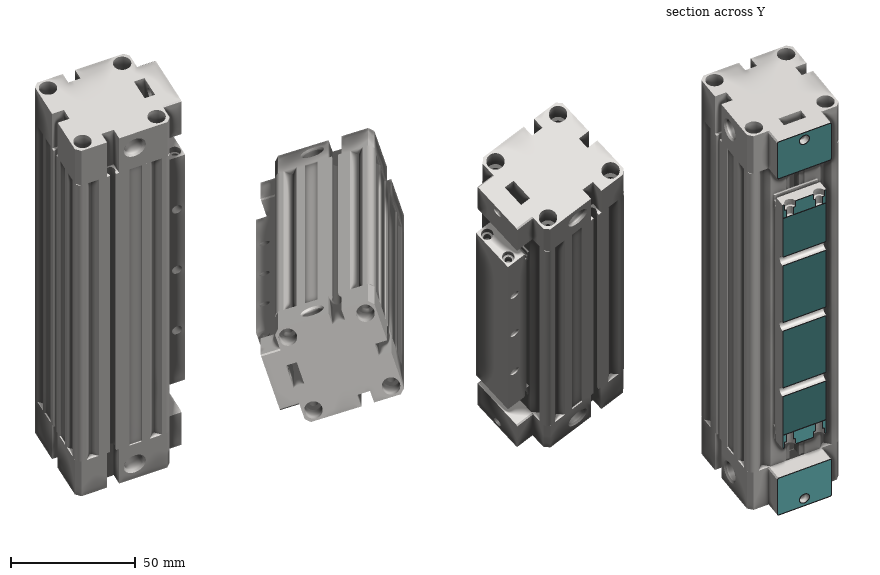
import cadquery as cq


TOTAL_LENGTH = 200
SECTION = 42
HALF_SECTION = SECTION / 2

BLOCK_LENGTH = 20
BLOCK_CHAMFER = 2.0
BLOCK_SLOT_WIDTH = 5.5
BLOCK_SLOT_DEPTH = 5.2
POCKET_WIDTH = 10.2
POCKET_DEPTH = 4.5
SCREW_INSET = 4.5
SCREW_HEAD_DIAMETER = 7.5
SCREW_HEAD_DEPTH = 10
SCREW_CLEARANCE_DIAMETER = 4.0
SCREW_CORE_DIAMETER = 3.0
SCREW_CORE_DEPTH = 16
PORT_DIAMETER = 8.2
PORT_CHAMFER = 0.8
PORT_Y = 25.5
PORT_FROM_END = 8.5

COVER_WIDTH = 25.0
COVER_TOP_Y = 50.2
COVER_CHAMFER = 0.5
COVER_HOLE_DIAMETER = 4.5
COVER_HOLE_FROM_END = 4.0

PROFILE_LENGTH = TOTAL_LENGTH - 2 * BLOCK_LENGTH
PROFILE_FILLET = 2.5
V_GROOVE_OFFSET = 14.0
V_GROOVE_DEPTH = 2.5
V_GROOVE_FLOOR = 0.5
SIDE_SLOT_Y = 16.0
SLOT_MOUTH = 2.5
SLOT_BORE_RADIUS = 2.0
SLOT_BORE_DEPTH = 2.5
SIDE_RECESS_WIDTH = 5.5
FRONT_RECESS_WIDTH = 5.5
FRONT_RECESS_FLOOR = 4.8
RECESS_DEPTH = 0.5
RECESS_OFFSET = 7.0
SIDE_RECESS_Y = 26.0

GUIDE_WIDTH = 8.5
GUIDE_DEPTH = 0.8
KEEL_WIDTH = 4.5
KEEL_DEPTH = 5.0

CARRIAGE_LENGTH = 130.5
CARRIAGE_WIDTH = 20
CARRIAGE_TOP_Y = 53.0
CARRIAGE_UNDERSIDE_Y = 43.2
CROSS_HOLE_DIAMETER = 4.5
CROSS_HOLE_Y = 49.5
CROSS_HOLE_PITCH = 35.0
CROSS_HOLE_COUNT = 3

CAP_LENGTH = 7.0
CAP_SCREW_OFFSET = 6.5
CAP_SCREW_Y = 50.0
CAP_SCREW_HEAD_DIAMETER = 5.0
CAP_SCREW_HEAD_DEPTH = 3.0
CAP_SCREW_DIAMETER = 3.2
WIPER_THICKNESS = 0.8
WIPER_ROOT_THICKNESS = 1.5
WIPER_SLOT_TOP_Y = 44.0
WIPER_SLOT_FLARE = 0.5
WIPER_SLOT_DEPTH = 5.0
WIPER_ROOT_START = 2.5

BODY_CARRIAGE_LENGTH = CARRIAGE_LENGTH - 2 * CAP_LENGTH
MIDDLE_Z = TOTAL_LENGTH / 2
SCREW_OFFSET = HALF_SECTION - SCREW_INSET
SCREW_POINTS = [
    (x, HALF_SECTION + y)
    for x in (-SCREW_OFFSET, SCREW_OFFSET)
    for y in (-SCREW_OFFSET, SCREW_OFFSET)
]


def box(x_min, x_max, y_min, y_max, z_min, z_max):
    return cq.Workplane("XY").box(
        x_max - x_min, y_max - y_min, z_max - z_min, centered=False
    ).translate((x_min, y_min, z_min))


def centred_box(width, y_min, y_max, z_min, z_max):
    return box(-width / 2, width / 2, y_min, y_max, z_min, z_max)


def z_cylinders(points, diameter, z_min, z_max):
    plane = cq.Workplane("XY", origin=(0, 0, z_min))
    return plane.pushPoints(points).circle(diameter / 2).extrude(z_max - z_min)


def turned(body, quarter_turns):
    """Turn a feature of the Y = 0 side about the section centre, clockwise from above."""
    return body.rotate((0, HALF_SECTION, 0), (0, HALF_SECTION, 1), -90 * quarter_turns)


def upper_copy(body):
    """Mirror a body from the lower end to the upper end."""
    return body.mirror("XY", (0, 0, MIDDLE_Z))


def at_both_ends(body):
    return [body, upper_copy(body)]



def make_end_block():
    block = centred_box(SECTION, 0, SECTION, 0, BLOCK_LENGTH)
    block = block.edges("|Z").chamfer(BLOCK_CHAMFER)

    half_slot = BLOCK_SLOT_WIDTH / 2
    block = block.cut(centred_box(BLOCK_SLOT_WIDTH, 0, BLOCK_SLOT_DEPTH, 0, BLOCK_LENGTH))
    slot_floor_x = HALF_SECTION - BLOCK_SLOT_DEPTH
    for x_min, x_max in ((-HALF_SECTION, -slot_floor_x), (slot_floor_x, HALF_SECTION)):
        block = block.cut(
            box(x_min, x_max, SIDE_SLOT_Y - half_slot, SIDE_SLOT_Y + half_slot, 0, BLOCK_LENGTH)
        )
    block = block.cut(centred_box(POCKET_WIDTH, SECTION - POCKET_DEPTH, SECTION, 0, BLOCK_LENGTH))

    block = block.cut(z_cylinders(SCREW_POINTS, SCREW_HEAD_DIAMETER, 0, SCREW_HEAD_DEPTH))
    block = block.cut(z_cylinders(SCREW_POINTS, SCREW_CLEARANCE_DIAMETER, 0, BLOCK_LENGTH))
    return block.cut(make_port())


def make_port():
    """Air port crossing the block along X, chamfered at both mouths."""
    radius = PORT_DIAMETER / 2
    mouth = radius + PORT_CHAMFER
    inner_x = HALF_SECTION - PORT_CHAMFER
    half_profile = [
        (-HALF_SECTION, 0),
        (-HALF_SECTION, mouth),
        (-inner_x, radius),
        (inner_x, radius),
        (HALF_SECTION, mouth),
        (HALF_SECTION, 0),
    ]
    port = cq.Workplane("XY").polyline(half_profile).close().revolve(360, (0, 0, 0), (1, 0, 0))
    return port.translate((0, PORT_Y, PORT_FROM_END))



def make_cover():
    cover = centred_box(COVER_WIDTH, SECTION, COVER_TOP_Y, 0, BLOCK_LENGTH)
    cover = cover.faces("<X or >X").edges("|Y").chamfer(COVER_CHAMFER)
    hole = cq.Workplane("XZ", origin=(0, SECTION, COVER_HOLE_FROM_END))
    hole = hole.circle(COVER_HOLE_DIAMETER / 2).extrude(SECTION - COVER_TOP_Y)
    return cover.cut(hole)



def profile_groove(x, mouth_width, floor_width, depth):
    """Full-length groove in the Y = 0 side, straight or tapering evenly to its floor."""
    outline = [
        (x - mouth_width / 2, 0),
        (x - floor_width / 2, depth),
        (x + floor_width / 2, depth),
        (x + mouth_width / 2, 0),
    ]
    plane = cq.Workplane("XY", origin=(0, 0, BLOCK_LENGTH))
    return plane.polyline(outline).close().extrude(PROFILE_LENGTH)


def v_groove(x):
    mouth_width = V_GROOVE_FLOOR + 2 * V_GROOVE_DEPTH
    return profile_groove(x, mouth_width, V_GROOVE_FLOOR, V_GROOVE_DEPTH)


def round_slot(x):
    bore = z_cylinders(
        [(x, SLOT_BORE_DEPTH)], 2 * SLOT_BORE_RADIUS, BLOCK_LENGTH, TOTAL_LENGTH - BLOCK_LENGTH
    )
    mouth = profile_groove(x, SLOT_MOUTH, SLOT_MOUTH, SLOT_BORE_DEPTH)
    return bore.union(mouth)


def front_recess(x):
    return profile_groove(x, FRONT_RECESS_WIDTH, FRONT_RECESS_FLOOR, RECESS_DEPTH)


def side_recess(x):
    return profile_groove(x, SIDE_RECESS_WIDTH, SIDE_RECESS_WIDTH, RECESS_DEPTH)


def make_profile():
    profile = centred_box(SECTION, 0, SECTION, BLOCK_LENGTH, TOTAL_LENGTH - BLOCK_LENGTH)
    profile = profile.edges("|Z").fillet(PROFILE_FILLET)

    for side in range(4):
        for x in (-V_GROOVE_OFFSET, V_GROOVE_OFFSET):
            profile = profile.cut(turned(v_groove(x), side))

    profile = profile.cut(round_slot(0))
    for x in (-RECESS_OFFSET, RECESS_OFFSET):
        profile = profile.cut(front_recess(x))

    slot_offset = HALF_SECTION - SIDE_SLOT_Y
    recess_offset = HALF_SECTION - SIDE_RECESS_Y
    for side, direction in ((1, 1), (3, -1)):
        profile = profile.cut(turned(round_slot(direction * slot_offset), side))
        profile = profile.cut(turned(side_recess(direction * recess_offset), side))

    for z_min in (BLOCK_LENGTH, TOTAL_LENGTH - BLOCK_LENGTH - SCREW_CORE_DEPTH):
        profile = profile.cut(
            z_cylinders(SCREW_POINTS, SCREW_CORE_DIAMETER, z_min, z_min + SCREW_CORE_DEPTH)
        )
    return profile.cut(guide_bar(BLOCK_LENGTH, TOTAL_LENGTH - BLOCK_LENGTH))


def guide_bar(z_min, z_max):
    """Stepped bar from the carriage underside down to the bottom of the guide slot."""
    shoulder = centred_box(GUIDE_WIDTH, SECTION - GUIDE_DEPTH, CARRIAGE_UNDERSIDE_Y, z_min, z_max)
    keel = centred_box(KEEL_WIDTH, SECTION - KEEL_DEPTH, CARRIAGE_UNDERSIDE_Y, z_min, z_max)
    return shoulder.union(keel)



def make_carriage():
    z_min = MIDDLE_Z - BODY_CARRIAGE_LENGTH / 2
    z_max = MIDDLE_Z + BODY_CARRIAGE_LENGTH / 2
    carriage = centred_box(CARRIAGE_WIDTH, CARRIAGE_UNDERSIDE_Y, CARRIAGE_TOP_Y, z_min, z_max)
    carriage = carriage.union(guide_bar(z_min, z_max))
    holes = (
        cq.Workplane("YZ", origin=(0, CROSS_HOLE_Y, MIDDLE_Z))
        .rarray(2, CROSS_HOLE_PITCH, 1, CROSS_HOLE_COUNT)
        .circle(CROSS_HOLE_DIAMETER / 2)
        .extrude(CARRIAGE_WIDTH / 2, both=True)
    )
    return carriage.cut(holes)



def make_cap():
    end_z = MIDDLE_Z - CARRIAGE_LENGTH / 2
    cap = centred_box(CARRIAGE_WIDTH, SECTION, CARRIAGE_TOP_Y, end_z, end_z + CAP_LENGTH)

    lip_y = SECTION + WIPER_THICKNESS
    slot_outline = [
        (lip_y, 0),
        (lip_y, WIPER_ROOT_START),
        (SECTION + WIPER_ROOT_THICKNESS, WIPER_ROOT_START + WIPER_SLOT_FLARE),
        (SECTION + WIPER_ROOT_THICKNESS, WIPER_SLOT_DEPTH),
        (WIPER_SLOT_TOP_Y, WIPER_SLOT_DEPTH),
        (WIPER_SLOT_TOP_Y, WIPER_SLOT_FLARE),
        (WIPER_SLOT_TOP_Y + WIPER_SLOT_FLARE, 0),
    ]
    slot = cq.Workplane("YZ", origin=(0, 0, end_z)).polyline(slot_outline).close()
    cap = cap.cut(slot.extrude(CARRIAGE_WIDTH / 2, both=True))

    screws = [(-CAP_SCREW_OFFSET, CAP_SCREW_Y), (CAP_SCREW_OFFSET, CAP_SCREW_Y)]
    cap = cap.cut(z_cylinders(screws, CAP_SCREW_HEAD_DIAMETER, end_z, end_z + CAP_SCREW_HEAD_DEPTH))
    return cap.cut(z_cylinders(screws, CAP_SCREW_DIAMETER, end_z, end_z + CAP_LENGTH))



profile = make_profile()
end_blocks = at_both_ends(make_end_block())
covers = at_both_ends(make_cover())
carriage = make_carriage()
caps = at_both_ends(make_cap())

bodies = [profile, *end_blocks, *covers, carriage, *caps]
result = cq.Compound.makeCompound([body.solids().val() for body in bodies])